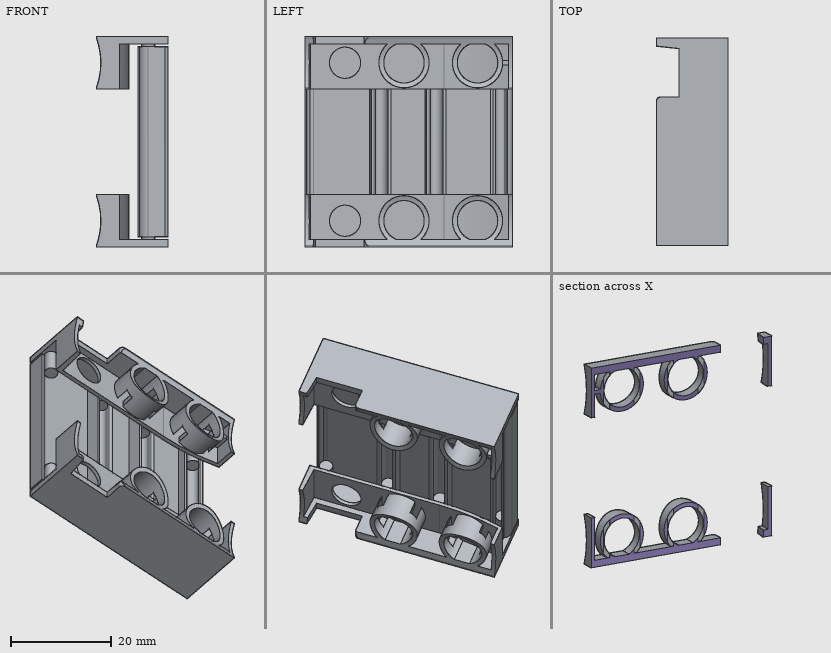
import cadquery as cq
import math

DEPTH = 14.32
LENGTH = 41.45
HEIGHT = 42.0

BRACKET_HEIGHT = 10.5
BRACKET_MID = BRACKET_HEIGHT / 2
FLANGE = 1.55
END_WALL = 0.85
END_WALL_DRAFT = 0.35
WEB_BACK = 6.45
WEB = 0.75
WEB_FRONT = WEB_BACK - WEB
WEB_SWEEP = 1.8
WEB_BEND_Y = 13.7

NOTCH_DEPTH = 4.5
NOTCH_BOTTOM_Y = 29.65
NOTCH_TOP_Y = LENGTH - 1.7
NOTCH_TAPER = 0.5
NOTCH_RADIUS = 0.85

SCOOP_DEPTH = 0.9
SCOOP_LAND = 0.3

BOSS_YS = (7.0, 21.67)
BOSS_DIAMETER = 10.0
BOSS_BORE = 8.05
SLIT_INNER = 2.8
SLIT_OUTER = 4.15
SLIT_FRONT = 2.85

HOLE_DIAMETER = 6.2
HOLE_Y = 33.45

RIB_WIDTH = 0.9
RIB_FRONT = 1.2

PIN_DIAMETER = 2.7
PIN_LENGTH = 5.05
PIN_X = 10.35
OUTER_PIN_INSET = 2.05
INNER_PIN_OFFSET = 5.5
FIRST_PIN_Y = OUTER_PIN_INSET
LAST_PIN_Y = LENGTH - OUTER_PIN_INSET
INNER_PIN_YS = (LENGTH / 2 - INNER_PIN_OFFSET, LENGTH / 2 + INNER_PIN_OFFSET)
PIN_YS = (FIRST_PIN_Y, *INNER_PIN_YS, LAST_PIN_Y)

PANEL_GAP = 0.5
PANEL_BOTTOM = FLANGE + PANEL_GAP
PANEL_HEIGHT = HEIGHT - 2 * PANEL_BOTTOM
PLATE_FRONT = 11.8
SOCKET_RADIUS = PIN_DIAMETER / 2
CORNER_X = 0.67
CORNER_RADIUS = 0.92

KNUCKLE_RADIUS = OUTER_PIN_INSET
LIP_START = 1.05
LIP_END = 0.55
LIP_FRONT = 8.27
LIP_FLAT_START = 0.95
LIP_FLAT_END = 0.8
LIP_ROUND = LIP_FLAT_END - LIP_END
GUARD_FRONT = 10.05
GUARD_INNER = 1.9
GUARD_OUTER = 2.4
GUARD_BEVEL_X = 10.45

CLIP_LOW_FRONT = 9.0
CLIP_LOW_OUTER_X = 9.1
CLIP_LOW_INNER_X = 9.35
CLIP_LOW_SIDE = 1.97
CLIP_HIGH_SIDE = 2.3
CLIP_HIGH_FRONT = 8.95
CLIP_HIGH_TIP_X = 9.07
CLIP_HIGH_TIP_INNER = 1.43
CLIP_HIGH_TIP_OUTER = 1.95
CLIP_MOUTH = 1.15

HOOK_ROOT_Y = 0.35
HOOK_INNER_X = 11.45
HOOK_INNER_Y = 1.0
HOOK_INNER_RADIUS = 1.5
HOOK_SHOULDER_X = 10.75
HOOK_SHOULDER_Y = 1.55
HOOK_SHOULDER_RADIUS = 1.25
HOOK_TIP_X = 10.6
HOOK_TIP_Y = 1.72


def box(x0, x1, y0, y1, z0, z1):
    """Block between two limits on each axis."""
    return cq.Workplane("XY").box(x1 - x0, y1 - y0, z1 - z0, centered=False).translate((x0, y0, z0))


def x_cylinder(diameter, y, x0, x1):
    """Cylinder along X at the mid height of the lower bracket."""
    return cq.Workplane("YZ", origin=(x0, y, BRACKET_MID)).circle(diameter / 2).extrude(x1 - x0)


def bend_x(y, tangent_x):
    """X of the bent web surface that is straight at tangent_x."""
    radius = (WEB_BEND_Y**2 + WEB_SWEEP**2) / (2 * WEB_SWEEP)
    return tangent_x - radius + math.sqrt(radius**2 - (WEB_BEND_Y - y) ** 2)


def behind_web(tangent_x):
    """Everything behind the web surface that is straight at tangent_x."""
    return (
        cq.Workplane("XY")
        .moveTo(tangent_x, LENGTH)
        .lineTo(tangent_x, WEB_BEND_Y)
        .threePointArc((bend_x(WEB_BEND_Y / 2, tangent_x), WEB_BEND_Y / 2), (bend_x(0, tangent_x), 0))
        .lineTo(DEPTH, 0)
        .lineTo(DEPTH, LENGTH)
        .close()
        .extrude(BRACKET_HEIGHT)
    )


def flange():
    """Horizontal plate with a notch in its front edge."""
    return (
        cq.Workplane("XY")
        .moveTo(0, 0)
        .lineTo(DEPTH, 0)
        .lineTo(DEPTH, LENGTH)
        .lineTo(0, LENGTH)
        .lineTo(0, NOTCH_TOP_Y)
        .lineTo(NOTCH_DEPTH, NOTCH_TOP_Y - NOTCH_TAPER)
        .lineTo(NOTCH_DEPTH, NOTCH_BOTTOM_Y)
        .lineTo(NOTCH_RADIUS, NOTCH_BOTTOM_Y)
        .radiusArc((0, NOTCH_BOTTOM_Y - NOTCH_RADIUS), -NOTCH_RADIUS)
        .close()
        .extrude(FLANGE)
    )


def end_walls():
    """Walls that close both ends of the bracket; the +Y one is drafted."""
    low = box(0, WEB_FRONT, 0, END_WALL, 0, BRACKET_HEIGHT).cut(behind_web(WEB_FRONT))
    high = (
        cq.Workplane("XY")
        .moveTo(0, LENGTH)
        .lineTo(WEB_FRONT, LENGTH)
        .lineTo(WEB_FRONT, LENGTH - END_WALL - END_WALL_DRAFT)
        .lineTo(0, LENGTH - END_WALL)
        .close()
        .extrude(BRACKET_HEIGHT)
    )
    return low.union(high)


def boss(y):
    """Tube in front of the web, with two slits across it next to the web."""
    tube = x_cylinder(BOSS_DIAMETER, y, 0, WEB_BACK).cut(x_cylinder(BOSS_BORE, y, 0, WEB_BACK))
    for low, high in ((-SLIT_OUTER, -SLIT_INNER), (SLIT_INNER, SLIT_OUTER)):
        tube = tube.cut(box(SLIT_FRONT, WEB_BACK, y + low, y + high, 0, BRACKET_HEIGHT))
    return tube.cut(behind_web(WEB_FRONT))


def rib():
    """Small rib between the -Y end wall and the nearest boss."""
    bar = box(
        RIB_FRONT, WEB_BACK,
        0, BOSS_YS[0],
        BRACKET_MID - RIB_WIDTH / 2, BRACKET_MID + RIB_WIDTH / 2,
    )
    return bar.cut(x_cylinder(BOSS_BORE, BOSS_YS[0], 0, DEPTH)).cut(behind_web(WEB_FRONT))


def scoop():
    """Cylinder along Y that hollows the bracket's front."""
    half_chord = BRACKET_MID - SCOOP_LAND
    radius = (half_chord**2 + SCOOP_DEPTH**2) / (2 * SCOOP_DEPTH)
    return (
        cq.Workplane("XZ", origin=(SCOOP_DEPTH - radius, 0, BRACKET_MID)).circle(radius).extrude(-LENGTH)
    )


def bracket(with_rib):
    """End bracket with its four pins, standing on Z = 0 with the pins pointing up."""
    web = behind_web(WEB_FRONT).cut(behind_web(WEB_BACK))
    web = web.cut(x_cylinder(HOLE_DIAMETER, HOLE_Y, 0, DEPTH))
    body = flange().union(web).union(end_walls())
    for y in BOSS_YS:
        body = body.union(boss(y))
    if with_rib:
        body = body.union(rib())
    body = body.cut(scoop())
    pins = (
        cq.Workplane("XY", origin=(0, 0, FLANGE))
        .pushPoints([(PIN_X, y) for y in PIN_YS])
        .circle(PIN_DIAMETER / 2)
        .extrude(PIN_LENGTH)
    )
    return body.union(pins)


def plate():
    """Flat back of the panel; its corner arc runs smoothly into the back face."""
    corner_y = math.sqrt(CORNER_RADIUS**2 - (CORNER_RADIUS - CORNER_X) ** 2)
    return (
        cq.Workplane("XY")
        .moveTo(PLATE_FRONT, 0)
        .lineTo(DEPTH - CORNER_X, 0)
        .radiusArc((DEPTH, corner_y), -CORNER_RADIUS)
        .lineTo(DEPTH, LENGTH)
        .lineTo(PLATE_FRONT, LENGTH)
        .close()
        .extrude(PANEL_HEIGHT)
    )


def on_knuckle(y_offset):
    """X of the knuckle's front surface at a Y offset from its axis."""
    return PIN_X - math.sqrt(KNUCKLE_RADIUS**2 - y_offset**2)


def knuckle():
    """Rounded -Y end with an inward lip and a short guard wall."""
    axis = FIRST_PIN_Y
    lip_x = on_knuckle(LIP_START)
    arc_mid_y = (KNUCKLE_RADIUS + LIP_START) / 2
    return (
        cq.Workplane("XY")
        .moveTo(PLATE_FRONT, 0)
        .lineTo(PIN_X, 0)
        .threePointArc((on_knuckle(arc_mid_y), axis - arc_mid_y), (lip_x, axis - LIP_START))
        .lineTo(LIP_FRONT, axis - LIP_FLAT_START)
        .lineTo(LIP_FRONT, axis - LIP_FLAT_END)
        .radiusArc((LIP_FRONT + LIP_ROUND, axis - LIP_END), LIP_ROUND)
        .lineTo(PIN_X, axis - LIP_END)
        .lineTo(GUARD_BEVEL_X, axis + SOCKET_RADIUS)
        .lineTo(GUARD_FRONT, axis + GUARD_INNER)
        .lineTo(GUARD_FRONT, axis + GUARD_OUTER)
        .lineTo(PLATE_FRONT, axis + GUARD_OUTER)
        .close()
        .extrude(PANEL_HEIGHT)
    )


def clip(axis):
    """Pair of lips that hold an inner pin."""
    low_tip_mid = (CLIP_LOW_SIDE + SOCKET_RADIUS) / 2
    mouth_x = PIN_X - math.sqrt(SOCKET_RADIUS**2 - CLIP_MOUTH**2)
    high_tip_mid = (CLIP_HIGH_TIP_INNER + CLIP_HIGH_TIP_OUTER) / 2
    return (
        cq.Workplane("XY")
        .moveTo(PLATE_FRONT, axis - CLIP_LOW_SIDE)
        .lineTo(CLIP_LOW_OUTER_X, axis - CLIP_LOW_SIDE)
        .threePointArc((CLIP_LOW_FRONT, axis - low_tip_mid), (CLIP_LOW_INNER_X, axis - SOCKET_RADIUS))
        .lineTo(PIN_X, axis - SOCKET_RADIUS)
        .lineTo(PIN_X, axis)
        .lineTo(mouth_x, axis + CLIP_MOUTH)
        .lineTo(CLIP_HIGH_TIP_X, axis + CLIP_HIGH_TIP_INNER)
        .threePointArc((CLIP_HIGH_FRONT, axis + high_tip_mid), (CLIP_HIGH_TIP_X, axis + CLIP_HIGH_TIP_OUTER))
        .lineTo(PLATE_FRONT, axis + CLIP_HIGH_SIDE)
        .close()
        .extrude(PANEL_HEIGHT)
    )


def hook():
    """Low rim at the +Y end that cradles the last pin."""
    axis = LAST_PIN_Y
    return (
        cq.Workplane("XY")
        .moveTo(PLATE_FRONT, axis + HOOK_ROOT_Y)
        .radiusArc((HOOK_INNER_X, axis + HOOK_INNER_Y), -HOOK_INNER_RADIUS)
        .radiusArc((HOOK_SHOULDER_X, axis + HOOK_SHOULDER_Y), HOOK_SHOULDER_RADIUS)
        .lineTo(HOOK_TIP_X, axis + HOOK_TIP_Y)
        .lineTo(HOOK_SHOULDER_X, LENGTH)
        .lineTo(PLATE_FRONT, LENGTH)
        .close()
        .extrude(PANEL_HEIGHT)
    )


def panel():
    """Plate with the knuckle, the clips and the hook, bored for the pins."""
    body = plate().union(knuckle()).union(hook())
    for y in INNER_PIN_YS:
        body = body.union(clip(y))
    sockets = (
        cq.Workplane("XY")
        .pushPoints([(PIN_X, y) for y in PIN_YS])
        .circle(SOCKET_RADIUS)
        .extrude(PANEL_HEIGHT)
    )
    return body.cut(sockets).translate((0, 0, PANEL_BOTTOM))


lower_bracket = bracket(with_rib=False)
upper_bracket = bracket(with_rib=True).mirror("XY", (0, 0, HEIGHT / 2))
hinge_panel = panel()

result = cq.Compound.makeCompound([
    lower_bracket.solids().val(),
    upper_bracket.solids().val(),
    hinge_panel.solids().val(),
])